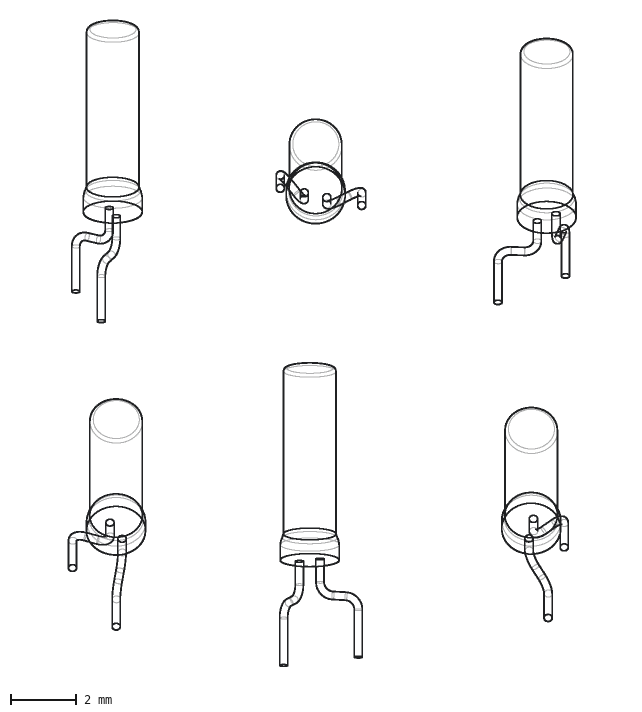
import cadquery as cq
import math

total_height = 9.0
can_base_z = 3.0

can_radius = 1.6 / 2
top_fillet = 0.1
flange_radius = 1.8 / 2
flange_top_z = 3.49
shoulder_top_z = 3.71
shoulder_top_radius = 0.84
neck_z = 3.82
shoulder_mid_z = (flange_top_z + shoulder_top_z) / 2
shoulder_bulge = 0.0135

lead_radius = 0.25 / 2
lead_root_x = 0.35
lead_foot_x = 2.79 / 2 - lead_radius
lead_foot_y = lead_radius - flange_radius
upper_bend_z = 2.28
lower_bend_z = 1.485
bend_radius = (upper_bend_z - lower_bend_z) / 2


def make_can():
    """Revolved can with a wider flange and a rounded shoulder at its base."""
    shoulder_mid_radius = (flange_radius + shoulder_top_radius) / 2 + shoulder_bulge
    profile = (
        cq.Workplane("XZ")
        .moveTo(0, can_base_z)
        .lineTo(flange_radius, can_base_z)
        .lineTo(flange_radius, flange_top_z)
        .threePointArc((shoulder_mid_radius, shoulder_mid_z), (shoulder_top_radius, shoulder_top_z))
        .lineTo(can_radius, neck_z)
        .lineTo(can_radius, total_height)
        .lineTo(0, total_height)
        .close()
    )
    can = profile.revolve(360, (0, 0, 0), (0, 1, 0))
    return can.faces(">Z").edges().fillet(top_fillet)


def make_lead(side):
    """Round lead on the given X side (-1 or 1), jogged outward and toward -Y."""
    run_x = side * (lead_foot_x - lead_root_x)
    run_y = lead_foot_y
    run = math.hypot(run_x, run_y)
    root = (side * lead_root_x, 0, 0)
    jog_plane = cq.Plane(origin=root, xDir=(run_x, run_y, 0), normal=(run_y, -run_x, 0))
    jog_z = upper_bend_z - bend_radius
    arc_offset = bend_radius * (1 - math.sqrt(0.5))
    path = (
        cq.Workplane(jog_plane)
        .moveTo(0, can_base_z)
        .lineTo(0, upper_bend_z)
        .threePointArc((arc_offset, jog_z + arc_offset), (bend_radius, jog_z))
        .lineTo(run - bend_radius, jog_z)
        .threePointArc((run - arc_offset, jog_z - arc_offset), (run, lower_bend_z))
        .lineTo(run, 0)
    )
    section = cq.Workplane("XY", origin=(side * lead_root_x, 0, can_base_z)).circle(lead_radius)
    return section.sweep(path)


result = make_can()
for lead_side in (-1, 1):
    result = result.union(make_lead(lead_side))